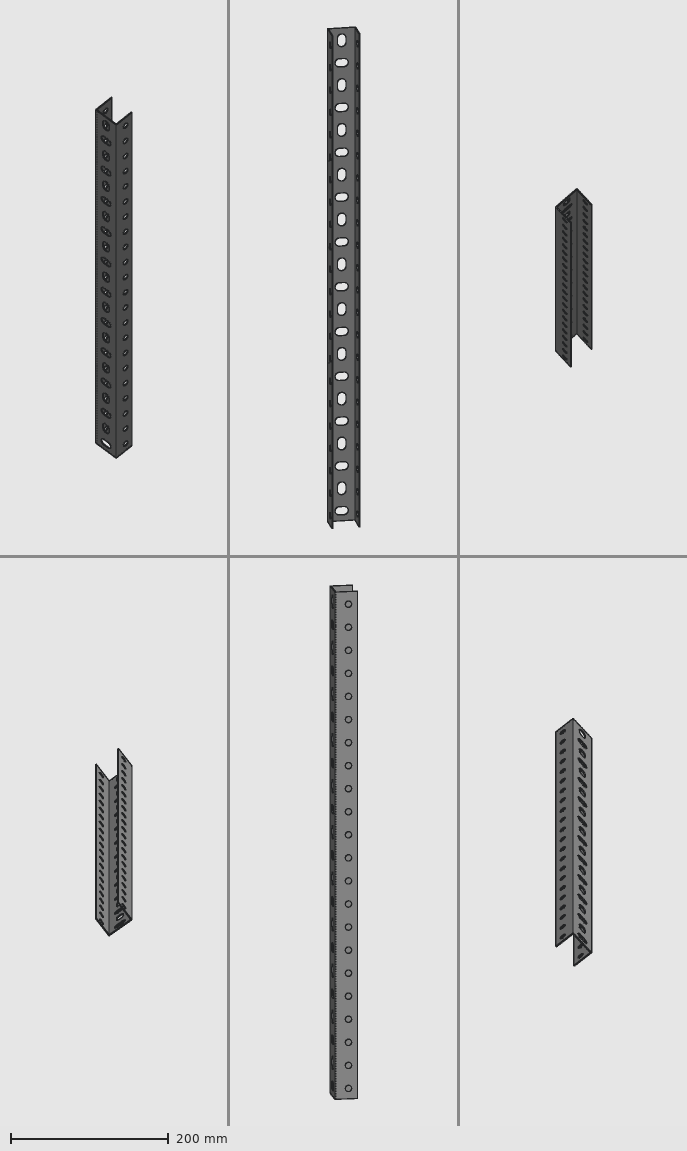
import cadquery as cq

width = 36.64
depth = 29.0
length = 660.0
thickness = 1.5

pitch = 30.0
row_count = int(length / pitch)
first_row_z = 13.5

hole_diameter = 8.2
slot_width = 11.0
slot_length = 17.0
flange_hole_y = 17.5


def channel():
    """U-shaped channel, web on the -Y side and open toward +Y, standing on Z = 0."""
    outer = cq.Workplane("XY").box(width, depth, length, centered=(True, False, False))
    inside = (
        cq.Workplane("XY")
        .box(width - 2 * thickness, depth, length, centered=(True, False, False))
        .translate((0, thickness, 0))
    )
    return outer.cut(inside)


def row_z(row):
    """Height of a perforation row above the bottom end."""
    return first_row_z + row * pitch


def web_slots(rows, angle):
    """Cutters for the web slots in the given rows; angle 0 lies across the web, 90 along it."""
    return (
        cq.Workplane("XZ")
        .pushPoints([(0, row_z(row)) for row in rows])
        .slot2D(slot_length, slot_width, angle)
        .extrude(-thickness)
    )


def flange_holes():
    """Cutters for the round holes, each passing through both flanges."""
    return (
        cq.Workplane("YZ")
        .pushPoints([(flange_hole_y, row_z(row)) for row in range(row_count)])
        .circle(hole_diameter / 2)
        .extrude(width / 2, both=True)
    )


crosswise_slots = web_slots(range(0, row_count, 2), 0)
lengthwise_slots = web_slots(range(1, row_count, 2), 90)

result = channel().cut(crosswise_slots).cut(lengthwise_slots).cut(flange_holes())